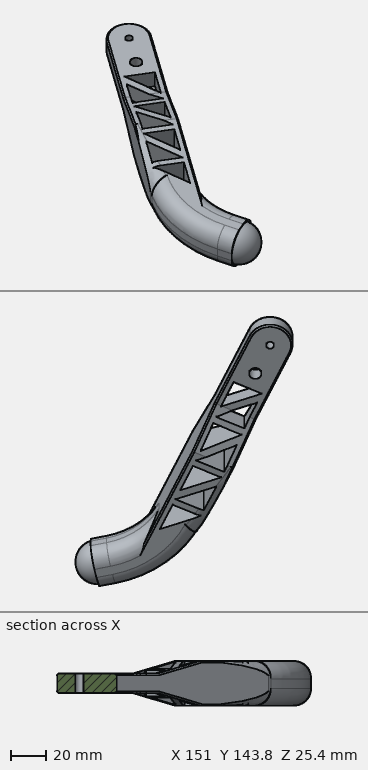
import cadquery as cq
import math

height = 25.4
half_height = height / 2
grip_half_width = 12.7
arm_half_width = 12.8
arm_angle = 53.0
edge_chamfer = 1.0

tab_thickness = 11.2
taper_start = 46.8
taper_end = 76.8
heel_overlap = 4.2
heel_length = 2.2
heel_depth = 0.4
rounding_inset = 1.8
small_hole_diameter = 4.4
large_hole_diameter = 7.0
hole_spacing = 20.0

window_length = 17.2
window_half_width = 8.8
window_start = 30.2
facing_window_shift = 6.4
window_pitch = 27.5
window_count = 4
facing_window_count = 3

corner_radius = 10.0
bend_radius = 57.15
grip_drop = 118.34
grip_end = 126.9
cap_height = 11.26
cap_radius = 12.7

angle = math.radians(arm_angle)
arm_length = (grip_drop - bend_radius * (1 - math.cos(angle))) / math.sin(angle)
heel_start = arm_length + heel_overlap
heel_end = heel_start + heel_length
bend_end = arm_length * math.cos(angle) + bend_radius * math.sin(angle)


def arm_plate():
    """Full-height arm; its far end follows the bend axis so that it stays inside the grip."""
    upper_reach = math.sqrt(bend_radius**2 - (bend_radius - arm_half_width) ** 2)
    half_turn = math.asin(upper_reach / bend_radius) / 2
    bend_middle = (
        arm_length + bend_radius * math.sin(half_turn),
        bend_radius * (1 - math.cos(half_turn)),
    )
    return (
        cq.Workplane("XY")
        .workplane(offset=-half_height)
        .moveTo(0, arm_half_width)
        .threePointArc((-arm_half_width, 0), (0, -arm_half_width))
        .lineTo(heel_start, -arm_half_width)
        .lineTo(heel_end, heel_depth - arm_half_width)
        .lineTo(arm_length, 0)
        .threePointArc(bend_middle, (arm_length + upper_reach, arm_half_width))
        .close()
        .extrude(height)
    )


def thickness_envelope():
    """Side profile of the arm: thin tab, taper, full height."""
    envelope_start = -2 * arm_half_width
    envelope_end = arm_length + bend_radius
    half_tab = tab_thickness / 2
    upper_side = [
        (envelope_start, half_tab),
        (taper_start, half_tab),
        (taper_end, half_height),
        (envelope_end, half_height),
    ]
    lower_side = [(x, -z) for x, z in reversed(upper_side)]
    return (
        cq.Workplane("XZ")
        .polyline(upper_side + lower_side)
        .close()
        .extrude(2 * arm_half_width, both=True)
    )


def corner_rounding(side):
    """Cutter that runs the grip's corner radius out along the lower edge; side is +1 or -1 in Z."""
    edge_y = heel_depth / 2 - arm_half_width
    flat_y = edge_y + corner_radius
    edge_z = side * half_height
    flat_z = side * (half_height - corner_radius)
    arc_reach = corner_radius * math.sqrt(0.5)
    section = (
        cq.Workplane("YZ")
        .workplane(offset=heel_end)
        .moveTo(flat_y, edge_z)
        .threePointArc((flat_y - arc_reach, flat_z + side * arc_reach), (edge_y, flat_z))
        .lineTo(edge_y, edge_z)
        .close()
    )
    runout = cq.Vector(taper_end - heel_end, rounding_inset - corner_radius, 0)
    return cq.Solid.extrudeLinear(section.ctx.pendingWires[0], [], runout)


def window(start, pointing):
    """Triangular window; pointing +1 puts its long edge on the upper side, -1 on the lower."""
    long_side = pointing * window_half_width
    square_end = start if pointing > 0 else start + window_length
    corners = [(start, long_side), (start + window_length, long_side), (square_end, -long_side)]
    return (
        cq.Workplane("XY")
        .polyline(corners)
        .close()
        .extrude(height, both=True)
    )


def build_arm():
    arm = arm_plate().intersect(thickness_envelope())
    arm = arm.faces("<Y or >Y or <X").edges("not |Z").chamfer(edge_chamfer)
    for side in (1, -1):
        arm = arm.cut(cq.Workplane(obj=corner_rounding(side)))
    return turn_to_arm(arm)


def turn_to_arm(shape):
    """Swing a shape from the X axis down onto the sloping arm."""
    return shape.rotate((0, 0, 0), (0, 0, 1), -arm_angle)


def grip_section():
    section = cq.Sketch().rect(2 * grip_half_width, height).vertices().fillet(corner_radius)
    return cq.Workplane("YZ", origin=(bend_end, -grip_drop, 0)).placeSketch(section)


def build_grip():
    straight = grip_section().extrude(grip_end - bend_end)
    bend = grip_section().revolve(arm_angle, (bend_radius, 0, 0), (bend_radius, -1, 0))
    return straight.union(bend)


def round_hole(x, diameter):
    return cq.Workplane("XY").center(x, 0).circle(diameter / 2).extrude(height, both=True)


def build_handle():
    handle = build_arm().union(build_grip())
    openings = [round_hole(0, small_hole_diameter), round_hole(hole_spacing, large_hole_diameter)]
    for i in range(window_count):
        openings.append(window(window_start + i * window_pitch, 1))
    for i in range(facing_window_count):
        openings.append(window(window_start + facing_window_shift + i * window_pitch, -1))
    for opening in openings:
        handle = handle.cut(turn_to_arm(opening))
    return handle


def build_cap():
    """Spherical cap, turned about the grip axis and touching the flat grip end."""
    center_depth = cap_radius - cap_height
    base_radius = math.sqrt(cap_radius**2 - center_depth**2)
    middle = cap_radius * math.sqrt(0.5)
    return (
        cq.Workplane("XY", origin=(grip_end, -grip_drop, 0))
        .lineTo(cap_height, 0)
        .threePointArc((middle - center_depth, middle), (0, base_radius))
        .close()
        .revolve(360, (0, 0, 0), (1, 0, 0))
    )


handle = build_handle()
cap = build_cap()
result = cq.Compound.makeCompound([handle.val(), cap.val()])